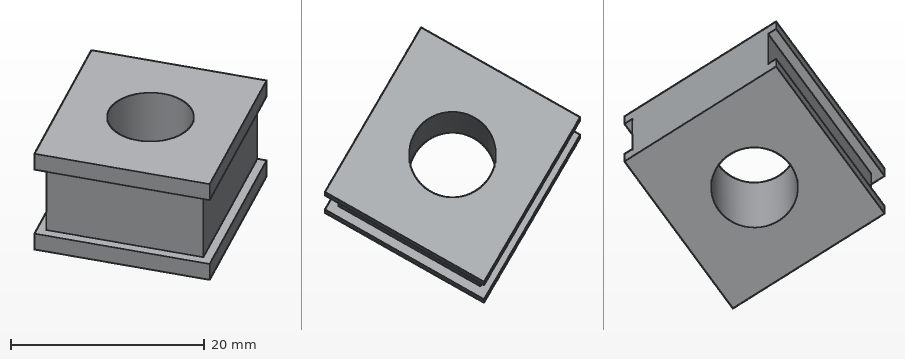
import cadquery as cq

width = 19.0
depth = 20.0
height = 12.0

flange_thickness = 2.0
core_inset = 1.0
bore_diameter = 9.0

core_width = width - 2 * core_inset
core_depth = depth - core_inset
core_height = height - 2 * flange_thickness


def make_flange(bottom_z):
    """Rectangular end plate centred on the bore axis."""
    return (
        cq.Workplane("XY", origin=(0, 0, bottom_z))
        .rect(width, depth)
        .extrude(flange_thickness)
    )


def make_core():
    """Block between the flanges, flush with them on the +Y side."""
    return (
        cq.Workplane("XY", origin=(0, core_inset / 2, flange_thickness))
        .rect(core_width, core_depth)
        .extrude(core_height)
    )


bore = cq.Workplane("XY").circle(bore_diameter / 2).extrude(height)

body = make_core()
for flange_bottom in (0, height - flange_thickness):
    body = body.union(make_flange(flange_bottom))

result = body.cut(bore)